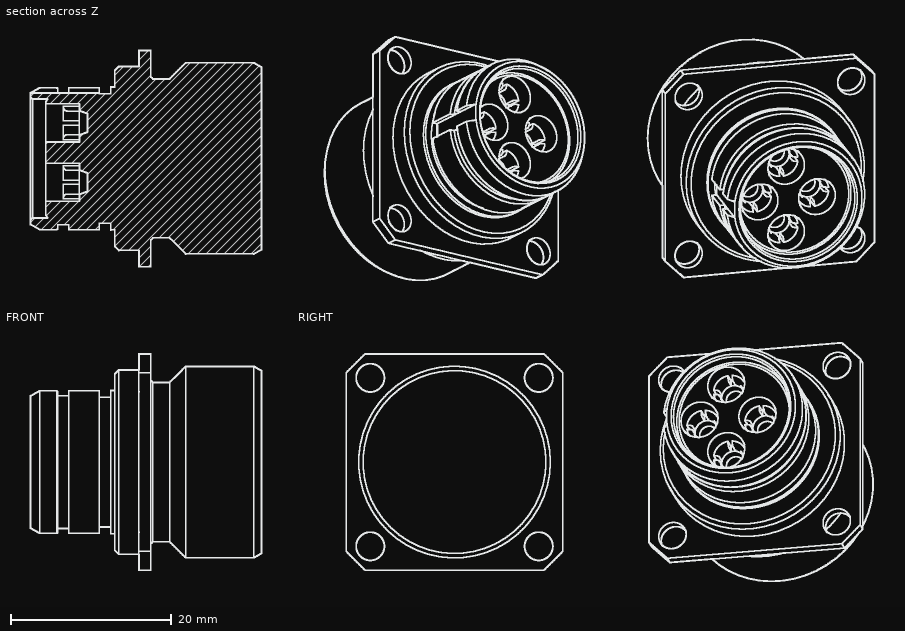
import cadquery as cq
import math


tip_chamfer_length = 1.15
mating_radius = 8.9
tip_radius = 8.25
front_groove_start = 3.4
front_groove_end = 4.75
front_groove_radius = 8.3
front_land_chamfer = 0.1
rear_groove_start = 8.6
rear_groove_end = 10.0
rear_groove_radius = 8.1

shoulder_radius = 8.95
collar_start = 10.5
collar_radius = 11.5
collar_chamfer = 0.5
flange_start = 13.5
flange_thickness = 1.5
flange_size = 27.0
flange_corner_cut = 2.35
flange_hole_diameter = 3.5
flange_hole_spacing = 21.0

neck_radius = 9.95
neck_relief_step = 0.25
neck_end = 17.35
rear_radius = 11.95
rear_cone_length = rear_radius - neck_radius
rear_chamfer_length = 0.95
rear_end_radius = 11.4
total_length = 28.8

keyway_width = 2.1
keyway_floor = 8.2

socket_radius = 7.4
socket_mouth_radius = 7.65
socket_mouth_length = 0.25
insulator_face = 1.9
insulator_edge_radius = 7.05
insulator_edge_length = 0.2

contact_pattern_y = 0.75
side_contact_offset = 3.7
end_contact_y = 1.03
end_contact_z = 4.4
contact_centres = [
    (contact_pattern_y + side_contact_offset, 0),
    (contact_pattern_y - side_contact_offset, 0),
    (end_contact_y, end_contact_z),
    (end_contact_y, -end_contact_z),
]
well_radius = 2.36
sleeve_radius = 2.1
sleeve_recess = 2.2
sleeve_length = 2.0
sleeve_rim_radius = 1.98
bore_radius = 1.5
bore_floor_radius = 1.14
bore_cone_length = 1.0
slot_width = 0.55
slot_count = 4


def revolve_profile(profile):
    """Turn a profile of (X, radius) about the X axis."""
    return profile.close().revolve(360, (0, 0, 0), (1, 0, 0))


def make_shell():
    """Solid turned body, with the flange added separately."""
    flange_end = flange_start + flange_thickness
    neck_start = flange_end + neck_relief_step
    return revolve_profile(
        cq.Workplane("XY")
        .moveTo(0, 0)
        .lineTo(0, tip_radius)
        .lineTo(tip_chamfer_length, mating_radius)
        .lineTo(front_groove_start - front_land_chamfer, mating_radius)
        .lineTo(front_groove_start, mating_radius - front_land_chamfer)
        .lineTo(front_groove_start, front_groove_radius)
        .lineTo(front_groove_end, front_groove_radius)
        .lineTo(front_groove_end, mating_radius)
        .lineTo(rear_groove_start, mating_radius)
        .lineTo(rear_groove_start, rear_groove_radius)
        .lineTo(rear_groove_end, rear_groove_radius)
        .lineTo(rear_groove_end, shoulder_radius)
        .lineTo(collar_start, shoulder_radius)
        .lineTo(collar_start, collar_radius - collar_chamfer)
        .lineTo(collar_start + collar_chamfer, collar_radius)
        .lineTo(flange_start, collar_radius)
        .lineTo(flange_end, neck_radius + neck_relief_step)
        .lineTo(neck_start, neck_radius)
        .lineTo(neck_end, neck_radius)
        .lineTo(neck_end + rear_cone_length, rear_radius)
        .lineTo(total_length - rear_chamfer_length, rear_radius)
        .lineTo(total_length, rear_end_radius)
        .lineTo(total_length, 0)
    )


def make_flange():
    """Square plate with cut corners and four mounting holes."""
    return (
        cq.Workplane("YZ", origin=(flange_start, 0, 0))
        .rect(flange_size, flange_size)
        .extrude(flange_thickness)
        .edges("|X")
        .chamfer(flange_corner_cut)
        .faces("<X")
        .workplane(origin=(flange_start, 0, 0))
        .rect(flange_hole_spacing, flange_hole_spacing, forConstruction=True)
        .vertices()
        .hole(flange_hole_diameter)
    )


def make_keyway():
    """Cutter for the keyway, from the mating end to the rear groove."""
    keyway_depth = mating_radius - keyway_floor
    return cq.Workplane("XY").box(
        rear_groove_start, keyway_depth, keyway_width, centered=(False, False, True)
    ).translate((0, keyway_floor, 0))


def make_socket():
    """Cutter for the round socket, chamfered at its mouth and around the insulator."""
    return revolve_profile(
        cq.Workplane("XY")
        .moveTo(0, 0)
        .lineTo(0, socket_mouth_radius)
        .lineTo(socket_mouth_length, socket_radius)
        .lineTo(insulator_face + insulator_edge_length, socket_radius)
        .lineTo(insulator_face, insulator_edge_radius)
        .lineTo(insulator_face, 0)
    )


def make_well():
    """Cutter for the well of one contact, made on the X axis."""
    return (
        cq.Workplane("YZ", origin=(insulator_face, 0, 0))
        .circle(well_radius)
        .extrude(sleeve_recess + sleeve_length)
    )


def make_sleeve():
    """Slotted sleeve with a rounded mouth, made on the X axis."""
    sleeve_tip = insulator_face + sleeve_recess
    sleeve_base = sleeve_tip + sleeve_length
    mouth_round = sleeve_rim_radius - bore_radius
    arc_offset = mouth_round * math.sqrt(0.5)
    sleeve = revolve_profile(
        cq.Workplane("XY")
        .moveTo(sleeve_tip, sleeve_radius)
        .lineTo(sleeve_tip, sleeve_rim_radius)
        .threePointArc(
            (sleeve_tip + mouth_round - arc_offset, sleeve_rim_radius - arc_offset),
            (sleeve_tip + mouth_round, bore_radius),
        )
        .lineTo(sleeve_base, bore_radius)
        .lineTo(sleeve_base, sleeve_radius)
    )
    slot = cq.Workplane("XY").box(
        sleeve_length, sleeve_radius, slot_width, centered=(False, False, True)
    ).translate((sleeve_tip, 0, 0))
    for index in range(slot_count):
        angle = index * 360 / slot_count
        sleeve = sleeve.cut(slot.rotate((0, 0, 0), (1, 0, 0), angle))
    return sleeve


def make_bore_end():
    """Cutter for the conical end of a bore below the well floor, made on the X axis."""
    well_floor = insulator_face + sleeve_recess + sleeve_length
    return revolve_profile(
        cq.Workplane("XY")
        .moveTo(well_floor, 0)
        .lineTo(well_floor, bore_radius)
        .lineTo(well_floor + bore_cone_length, bore_floor_radius)
        .lineTo(well_floor + bore_cone_length, 0)
    )


result = make_shell().union(make_flange())
result = result.cut(make_keyway()).cut(make_socket())
for centre_y, centre_z in contact_centres:
    offset = (0, centre_y, centre_z)
    result = result.cut(make_well().translate(offset))
    result = result.cut(make_bore_end().translate(offset))
    result = result.union(make_sleeve().translate(offset))